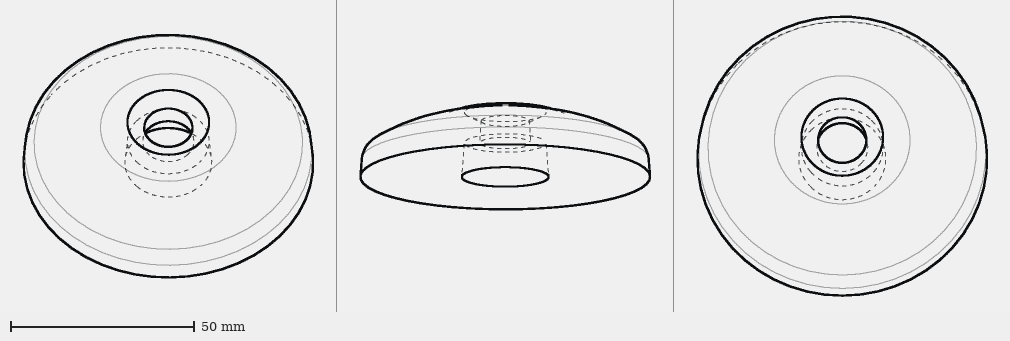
import cadquery as cq
import math

base_radius = 39.5
height = 18.0

rim_top_radius = 39.1
rim_height = 5.0
shoulder_top_radius = 36.6
shoulder_top_height = 8.85
shoulder_arc_radius = 4.75

collar_radius = 18.5
collar_base_height = 15.7
dome_arc_radius = 53.7
collar_arc_radius = 19.75

hole_radius = 6.55
countersink_radius = 11.1
countersink_depth = 2.4

hole_bottom_radius = 6.95
recess_top_radius = countersink_radius
recess_bottom_radius = 11.85
recess_depth = 9.5


def bulge(start, end, arc_radius):
    """Point midway along an outward-bulging arc that runs inward and up from start to end."""
    dr = end[0] - start[0]
    dz = end[1] - start[1]
    chord = math.hypot(dr, dz)
    sagitta = arc_radius - math.sqrt(arc_radius**2 - (chord / 2) ** 2)
    mid_r = (start[0] + end[0]) / 2 + sagitta * dz / chord
    mid_z = (start[1] + end[1]) / 2 - sagitta * dr / chord
    return (mid_r, mid_z)


rim_top = (rim_top_radius, rim_height)
shoulder_top = (shoulder_top_radius, shoulder_top_height)
collar_base = (collar_radius, collar_base_height)
collar_top = (countersink_radius, height)

half_section = (
    cq.Workplane("XZ")
    .moveTo(recess_bottom_radius, 0)
    .lineTo(base_radius, 0)
    .lineTo(*rim_top)
    .threePointArc(bulge(rim_top, shoulder_top, shoulder_arc_radius), shoulder_top)
    .threePointArc(bulge(shoulder_top, collar_base, dome_arc_radius), collar_base)
    .threePointArc(bulge(collar_base, collar_top, collar_arc_radius), collar_top)
    .lineTo(hole_radius, height - countersink_depth)
    .lineTo(hole_bottom_radius, recess_depth)
    .lineTo(recess_top_radius, recess_depth)
    .close()
)

result = half_section.revolve(360, (0, 0, 0), (0, 1, 0))